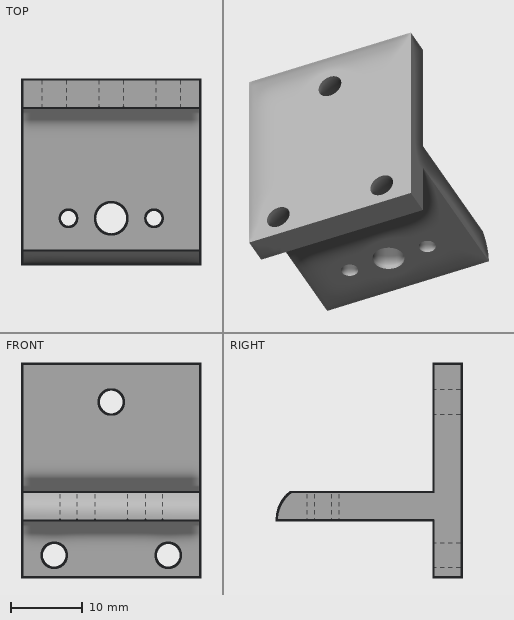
import cadquery as cq

WIDTH = 25.0
PLATE_HEIGHT = 30.0
PLATE_THICKNESS = 4.0
SHELF_DEPTH = 26.0

SHELF_BOTTOM = 8.0
SHELF_THICKNESS = 4.0
NOSE_RADIUS = 5.0

MOUNT_HOLE_DIAMETER = 3.5
UPPER_HOLE_HEIGHT = 24.6
LOWER_HOLE_HEIGHT = 3.1
LOWER_HOLE_SPACING = 16.0

SHELF_HOLE_ROW_Y = -19.5
CENTRE_HOLE_DIAMETER = 4.5
SIDE_HOLE_DIAMETER = 2.4
SIDE_HOLE_SPACING = 12.0


def make_plate():
    """Upright rectangular plate."""
    return cq.Workplane("XY").box(
        WIDTH, PLATE_THICKNESS, PLATE_HEIGHT, centered=(True, False, False)
    ).translate((0, -PLATE_THICKNESS, 0))


def make_shelf():
    """Horizontal shelf with a nose that curves from its top face down to its tip."""
    block = cq.Workplane("XY").box(
        WIDTH, SHELF_DEPTH, SHELF_THICKNESS, centered=(True, False, False)
    ).translate((0, -SHELF_DEPTH, SHELF_BOTTOM))
    nose_centre_y = NOSE_RADIUS - SHELF_DEPTH
    nose = (
        cq.Workplane("YZ")
        .center(nose_centre_y, SHELF_BOTTOM)
        .circle(NOSE_RADIUS)
        .extrude(WIDTH / 2, both=True)
    )
    behind_nose = cq.Workplane("XY").box(
        WIDTH, -nose_centre_y, SHELF_THICKNESS, centered=(True, False, False)
    ).translate((0, nose_centre_y, SHELF_BOTTOM))
    return block.intersect(nose.union(behind_nose))


def plate_hole(x, z):
    """Cutter for a mounting hole through the upright plate."""
    return (
        cq.Workplane("XZ", origin=(x, 0, z))
        .circle(MOUNT_HOLE_DIAMETER / 2)
        .extrude(PLATE_THICKNESS)
    )


def shelf_hole(x, diameter):
    """Cutter for a vertical hole through the shelf."""
    return (
        cq.Workplane("XY", origin=(x, SHELF_HOLE_ROW_Y, SHELF_BOTTOM))
        .circle(diameter / 2)
        .extrude(SHELF_THICKNESS)
    )


result = make_plate().union(make_shelf())

result = result.cut(plate_hole(0, UPPER_HOLE_HEIGHT))
result = result.cut(shelf_hole(0, CENTRE_HOLE_DIAMETER))
for side in (-1, 1):
    result = result.cut(plate_hole(side * LOWER_HOLE_SPACING / 2, LOWER_HOLE_HEIGHT))
    result = result.cut(shelf_hole(side * SIDE_HOLE_SPACING / 2, SIDE_HOLE_DIAMETER))